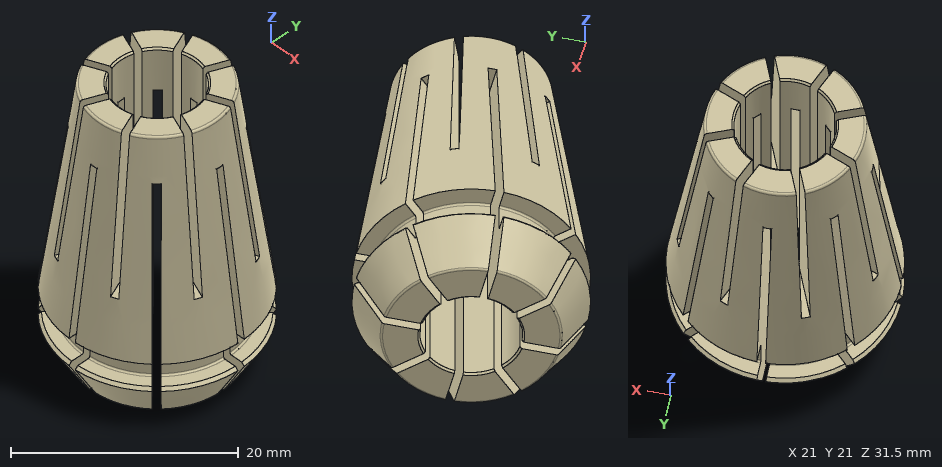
import cadquery as cq
import math

height = 31.5
flange_diameter = 21.0
flange_radius = flange_diameter / 2
bore_diameter = 9.0

cone_half_angle = 8.0
cone_base_z = 7.65

groove_radius = 8.73
groove_bottom_z = 4.75
groove_fillet = 0.2
flange_rim_z = 4.45
flange_lip = 0.3
flange_half_angle = 30.0

end_edge_round = 0.25
bore_chamfer = 0.2

slots_per_end = 8
slot_pitch = 360.0 / slots_per_end
slot_width = 0.8
upper_slot_floor_z = 14.02
lower_slot_end_z = 26.55
slot_reach = flange_radius + 0.3

cone_top_radius = flange_radius - (height - cone_base_z) * math.tan(math.radians(cone_half_angle))
base_radius = flange_radius - flange_rim_z * math.tan(math.radians(flange_half_angle))


def make_body():
    """Revolve the outer shape about Z and bore it through."""
    profile = (
        cq.Workplane("XZ")
        .lineTo(base_radius, 0)
        .lineTo(flange_radius, flange_rim_z)
        .lineTo(flange_radius - flange_lip, groove_bottom_z)
        .lineTo(groove_radius + groove_fillet, groove_bottom_z)
        .radiusArc((groove_radius, groove_bottom_z + groove_fillet), groove_fillet)
        .lineTo(groove_radius, cone_base_z - groove_fillet)
        .radiusArc((groove_radius + groove_fillet, cone_base_z), groove_fillet)
        .lineTo(flange_radius, cone_base_z)
        .lineTo(cone_top_radius, height)
        .lineTo(0, height)
        .close()
    )
    body = profile.revolve(360, (0, 0, 0), (0, 1, 0))
    body = body.faces(">Z or <Z").edges().fillet(end_edge_round)
    bore = cq.Workplane("XY").circle(bore_diameter / 2).extrude(height)
    body = body.cut(bore)
    bore_ends = body.faces(">Z or <Z").edges(cq.selectors.RadiusNthSelector(0))
    return bore_ends.chamfer(bore_chamfer)


def cut_slots(body, bottom_z, top_z, first_angle):
    """Cut evenly spaced radial slots from the axis out through the wall."""
    slot = (
        cq.Workplane("XY", origin=(0, 0, bottom_z))
        .rect(slot_reach, slot_width, centered=(False, True))
        .extrude(top_z - bottom_z)
    )
    for index in range(slots_per_end):
        angle = first_angle + index * slot_pitch
        body = body.cut(slot.rotate((0, 0, 0), (0, 0, 1), angle))
    return body


result = make_body()
result = cut_slots(result, 0, lower_slot_end_z, 0)
result = cut_slots(result, upper_slot_floor_z, height, slot_pitch / 2)